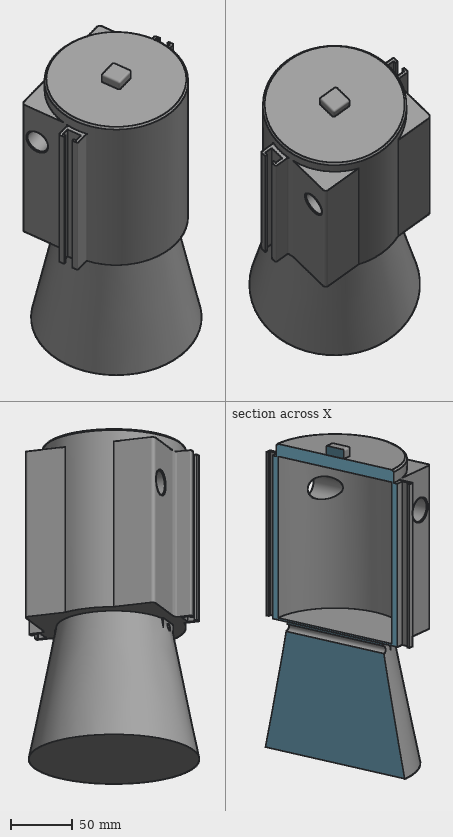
import cadquery as cq

total_height = 273.5
nozzle_height = 112.7
block_top = 254.4
cap_top = 265.5

housing_radius = 118.0 / 2
cavity_radius = 113.5 / 2
wall = housing_radius - cavity_radius
cap_chamfer = 1.6
block_reach = 55.0
block_half_depth = 57.2
block_corner_radius = 3.0

side_hole_diameter = 20.0
side_hole_x = -40.0
side_hole_z = 219.3
side_hole_chamfer = 0.8

rail_width = 18.5
rail_reach = 143.0 / 2
rail_edge_radius = 0.95
rail_root_radius = 0.95
selection_margin = 0.3
channel_width = 13.0
channel_floor = 62.4
lip_thickness = 2.2
slot_width = 8.0

nozzle_top_radius = 95.0 / 2
nozzle_bottom_radius = 140.0 / 2
lug_width = 22.0
lug_reach = 47.9
lug_height = 8.8
lug_hole_diameter = 6.0
lug_hole_drop = 5.0

knob_width = 18.3
knob_edge_radius = 1.78


def cylinder(radius, bottom, top):
    return cq.Workplane("XY").workplane(offset=bottom).circle(radius).extrude(top - bottom)


def box(x_limits, y_limits, z_limits):
    """Box between the given (low, high) limits on each axis."""
    sizes = [high - low for low, high in (x_limits, y_limits, z_limits)]
    corner = (x_limits[0], y_limits[0], z_limits[0])
    return cq.Workplane("XY").box(*sizes, centered=False).translate(corner)


def make_block():
    """Block that squares off the -X side of the housing."""
    block = box((-block_reach, 0), (-block_half_depth, block_half_depth), (nozzle_height, block_top))
    return block.edges("|Z and <X").fillet(block_corner_radius)


def make_rail():
    """Solid rail bar running out to both the +Y and -Y sides."""
    bar = box((-rail_width / 2, rail_width / 2), (-rail_reach, rail_reach), (nozzle_height, block_top))
    return bar.edges("|Z").fillet(rail_edge_radius)


def rail_root_selector(side):
    """Pick the two upright edges where a rail meets the housing on the +Y (1) or -Y (-1) side."""
    half_zone = rail_width / 2 + selection_margin
    inner_corner = (-half_zone, side * (housing_radius - wall), nozzle_height)
    outer_corner = (half_zone, side * (housing_radius + selection_margin), block_top)
    return cq.selectors.BoxSelector(inner_corner, outer_corner)


def make_rail_slot():
    """T-shaped slot cut along the -Y rail."""
    channel = box(
        (-channel_width / 2, channel_width / 2),
        (-rail_reach + lip_thickness, -channel_floor),
        (nozzle_height, block_top),
    )
    mouth = box((-slot_width / 2, slot_width / 2), (-rail_reach, -channel_floor), (nozzle_height, block_top))
    return channel.union(mouth)


def make_side_hole():
    """Drill through both sides of the block, widened at each mouth by a 45 degree chamfer."""
    radius = side_hole_diameter / 2
    mouth_radius = radius + side_hole_chamfer
    mouth_start = block_half_depth - side_hole_chamfer
    profile = (
        cq.Workplane("XY")
        .moveTo(0, -block_half_depth)
        .lineTo(mouth_radius, -block_half_depth)
        .lineTo(radius, -mouth_start)
        .lineTo(radius, mouth_start)
        .lineTo(mouth_radius, block_half_depth)
        .lineTo(0, block_half_depth)
        .close()
    )
    drill = profile.revolve(360, (0, 0, 0), (0, 1, 0))
    return drill.translate((side_hole_x, 0, side_hole_z))


def make_housing():
    body = cylinder(housing_radius, nozzle_height, cap_top).faces(">Z").chamfer(cap_chamfer)
    body = body.union(make_block()).union(make_rail())
    body = body.edges("|Z").edges(rail_root_selector(-1) + rail_root_selector(1)).fillet(rail_root_radius)
    slot = make_rail_slot()
    body = body.cut(slot).cut(slot.mirror("XZ"))
    body = body.cut(cylinder(cavity_radius, nozzle_height + wall, block_top))
    return body.cut(make_side_hole())


def make_nozzle():
    cone = (
        cq.Workplane("XY")
        .circle(nozzle_bottom_radius)
        .workplane(offset=nozzle_height)
        .circle(nozzle_top_radius)
        .loft(ruled=True)
    )
    lugs = box(
        (-lug_width / 2, lug_width / 2),
        (-lug_reach, lug_reach),
        (nozzle_height - lug_height, nozzle_height),
    )
    hole = (
        cq.Workplane("XZ")
        .center(0, nozzle_height - lug_hole_drop)
        .circle(lug_hole_diameter / 2)
        .extrude(nozzle_bottom_radius, both=True)
    )
    return cone.union(lugs).cut(hole)


def make_knob():
    half = knob_width / 2
    knob = box((-half, half), (-half, half), (cap_top, total_height))
    return knob.edges("|Z or >Z").fillet(knob_edge_radius)


housing = make_housing()
nozzle = make_nozzle()
knob = make_knob()

result = cq.Compound.makeCompound([housing.val(), nozzle.val(), knob.val()])